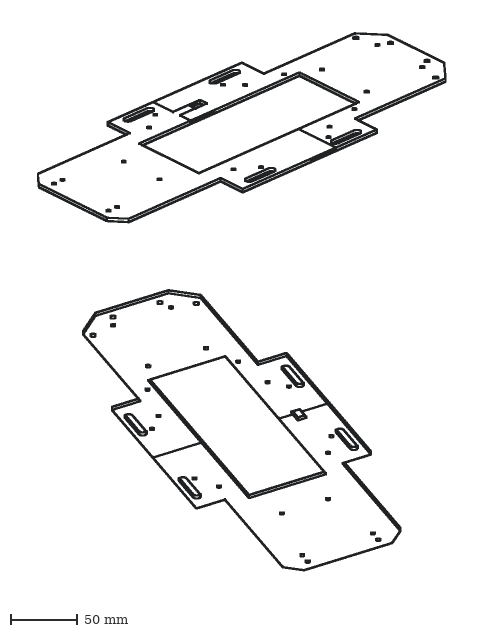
import cadquery as cq

length = 357.0
wing_width = 148.5
thickness = 3.0
half_thickness = thickness / 2
end_y = length / 2
wing_x = wing_width / 2
body_x = 50.0

wing_north_y = 67.5
wing_south_y = -72.0
north_flat_x = 31.0
north_taper_y = 162.0
south_flat_x = 37.5
south_taper_y = -167.8

window_x = 33.0
window_north_y = 88.2
window_south_y = -78.5

lap = 25.0
lap_root_y = 0.0

key_width = 7.5
key_x = -48.5
key_north_y = 3.2
tongue_tip_y = -8.5

slot_x = 66.8
slot_length = 29.3
slot_width = 6.5
slot_ys = (42.5, -46.8)

small_hole = 3.0
medium_hole = 3.2
large_hole = 4.0
hole_pairs = {
    large_hole: [(20.0, 171.0), (44.0, 157.5)],
    medium_hole: [(24.5, 161.7), (24.5, 104.0), (30.0, -170.0)],
    small_hole: [
        (38.5, 78.0),
        (46.5, 44.5),
        (58.2, 32.5),
        (58.2, -38.0),
        (46.5, -55.5),
        (19.5, -107.0),
        (30.0, -161.0),
    ],
}


def box(x_min, x_max, y_min, y_max, z_min=0.0, z_max=thickness):
    """Rectangular block between the given limits."""
    size = (x_max - x_min, y_max - y_min, z_max - z_min)
    return cq.Workplane("XY").box(*size, centered=False).translate((x_min, y_min, z_min))


def full_outline():
    """Combined outer shape of both plates, with the central window."""
    east_side = [
        (south_flat_x, -end_y),
        (body_x, south_taper_y),
        (body_x, wing_south_y),
        (wing_x, wing_south_y),
        (wing_x, wing_north_y),
        (body_x, wing_north_y),
        (body_x, north_taper_y),
        (north_flat_x, end_y),
    ]
    west_side = [(-x, y) for x, y in reversed(east_side)]
    blank = cq.Workplane("XY").polyline(east_side + west_side).close().extrude(thickness)
    return blank.cut(box(-window_x, window_x, window_south_y, window_north_y))


def cut_holes_and_slots(blank):
    """Cut the mirrored round holes and wing slots through the blank."""
    for diameter, pairs in hole_pairs.items():
        points = [(side * x, y) for x, y in pairs for side in (-1, 1)]
        holes = cq.Workplane("XY").pushPoints(points).circle(diameter / 2).extrude(thickness)
        blank = blank.cut(holes)
    slot_points = [(side * slot_x, y) for y in slot_ys for side in (-1, 1)]
    slots = cq.Workplane("XY").pushPoints(slot_points).slot2D(slot_length, slot_width, 90)
    return blank.cut(slots.extrude(thickness))


def key_block(y_min, y_max):
    """Full-height block as wide as the keyway."""
    return box(key_x - key_width / 2, key_x + key_width / 2, y_min, y_max)


def north_zone():
    """Space filled by the north plate: upper lap on the west, lower lap on the east."""
    zone = box(-wing_x, wing_x, lap_root_y + lap, end_y)
    west_root = box(-wing_x, 0, lap_root_y, lap_root_y + lap)
    west_lap = box(-wing_x, 0, lap_root_y - lap, lap_root_y, half_thickness, thickness)
    east_lap = box(0, wing_x, lap_root_y, lap_root_y + lap, 0, half_thickness)
    zone = zone.union(west_root).union(west_lap).union(east_lap)
    return zone.cut(key_block(lap_root_y - lap, key_north_y))


def make_north_plate(blank):
    """North plate, with the keyway open to the south."""
    return blank.intersect(north_zone())


def make_south_plate(blank):
    """South plate, with a full-height tongue that leaves the end of the keyway open."""
    return blank.cut(north_zone()).cut(key_block(tongue_tip_y, key_north_y))


full_blank = cut_holes_and_slots(full_outline())
north_plate = make_north_plate(full_blank)
south_plate = make_south_plate(full_blank)

result = cq.Compound.makeCompound([north_plate.val(), south_plate.val()])